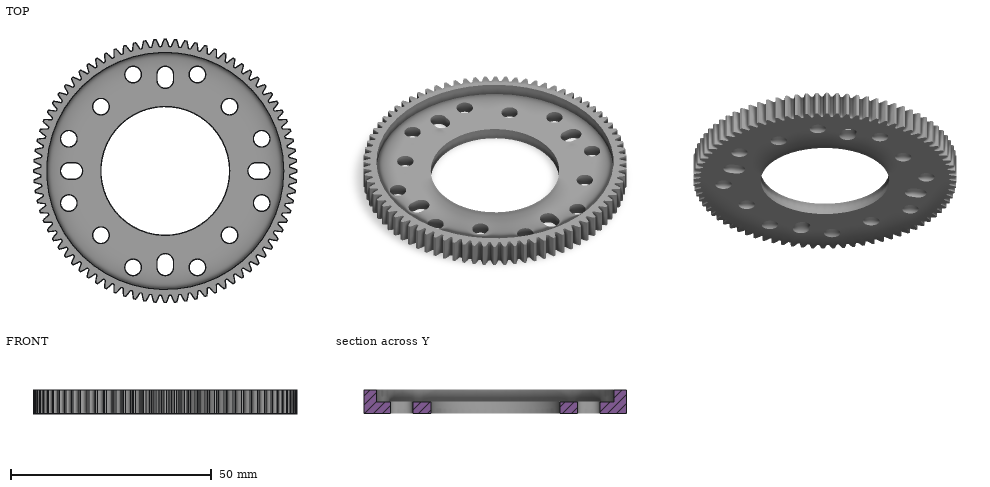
import cadquery as cq
import math

tooth_count = 80
outer_diameter = 65.6
gear_height = 6.0
pressure_angle = math.radians(22)
dedendum_factor = 1.25
gap_rounding_depth = 0.05
flank_points = 5
module = outer_diameter / (tooth_count + 2)

tip_radius = outer_diameter / 2
pitch_radius = module * tooth_count / 2
base_radius = pitch_radius * math.cos(pressure_angle)
root_radius = pitch_radius - dedendum_factor * module
flank_start_radius = root_radius + gap_rounding_depth

recess_diameter = 59.05
web_thickness = gear_height / 2
bore_diameter = 32.0

grid_pitch = 8.0
hole_diameter = 4.1


def involute_angle(radius):
    """Polar angle swept by the involute between the base circle and a radius."""
    slope = math.acos(base_radius / radius)
    return math.tan(slope) - slope


def half_tooth_angle(radius):
    """Half of the angle a tooth fills at a radius; teeth and gaps match at the pitch circle."""
    at_pitch = math.pi / (2 * tooth_count)
    return at_pitch + involute_angle(pitch_radius) - involute_angle(radius)


def polar(radius, angle):
    return (radius * math.cos(angle), radius * math.sin(angle))


def make_gear_blank():
    """Solid disc with involute teeth, one of them centred on +X."""
    step = (tip_radius - flank_start_radius) / (flank_points - 1)
    radii = [flank_start_radius + i * step for i in range(flank_points)]
    tooth_angle = 2 * math.pi / tooth_count

    base_half_angle = half_tooth_angle(flank_start_radius)

    outline = cq.Workplane("XY").moveTo(*polar(flank_start_radius, -base_half_angle))
    for tooth in range(tooth_count):
        center = tooth * tooth_angle
        rising = [polar(r, center - half_tooth_angle(r)) for r in radii]
        falling = [polar(r, center + half_tooth_angle(r)) for r in reversed(radii)]
        gap_bottom = polar(root_radius, center + tooth_angle / 2)
        next_flank = polar(flank_start_radius, center + tooth_angle - base_half_angle)
        outline = (
            outline.spline(rising[1:], includeCurrent=True)
            .threePointArc(polar(tip_radius, center), falling[0])
            .spline(falling[1:], includeCurrent=True)
            .threePointArc(gap_bottom, next_flank)
        )
    return outline.close().extrude(gear_height)


def make_recess():
    """Round pocket in the top face that leaves the web below it."""
    return (
        cq.Workplane("XY", origin=(0, 0, web_thickness))
        .circle(recess_diameter / 2)
        .extrude(gear_height - web_thickness)
    )


def make_through_cuts():
    """Central bore, plus round holes and radial slots repeated every quarter turn."""
    outer_row = 3 * grid_pitch
    diagonal_offset = 2 * grid_pitch
    round_holes = [
        (outer_row, grid_pitch),
        (outer_row, -grid_pitch),
        (diagonal_offset, diagonal_offset),
    ]

    slot_inner_center = math.hypot(diagonal_offset, diagonal_offset)
    slot_center = (outer_row + slot_inner_center) / 2
    slot_length = outer_row - slot_inner_center + hole_diameter

    slot = cq.Workplane("XY").center(slot_center, 0).slot2D(slot_length, hole_diameter).extrude(web_thickness)

    quarter_pattern = (
        cq.Workplane("XY")
        .pushPoints(round_holes)
        .circle(hole_diameter / 2)
        .extrude(web_thickness)
        .union(slot)
    )
    cuts = cq.Workplane("XY").circle(bore_diameter / 2).extrude(web_thickness)
    for quarter in range(4):
        cuts = cuts.union(quarter_pattern.rotate((0, 0, 0), (0, 0, 1), quarter * 90))
    return cuts


result = make_gear_blank().cut(make_recess()).cut(make_through_cuts())